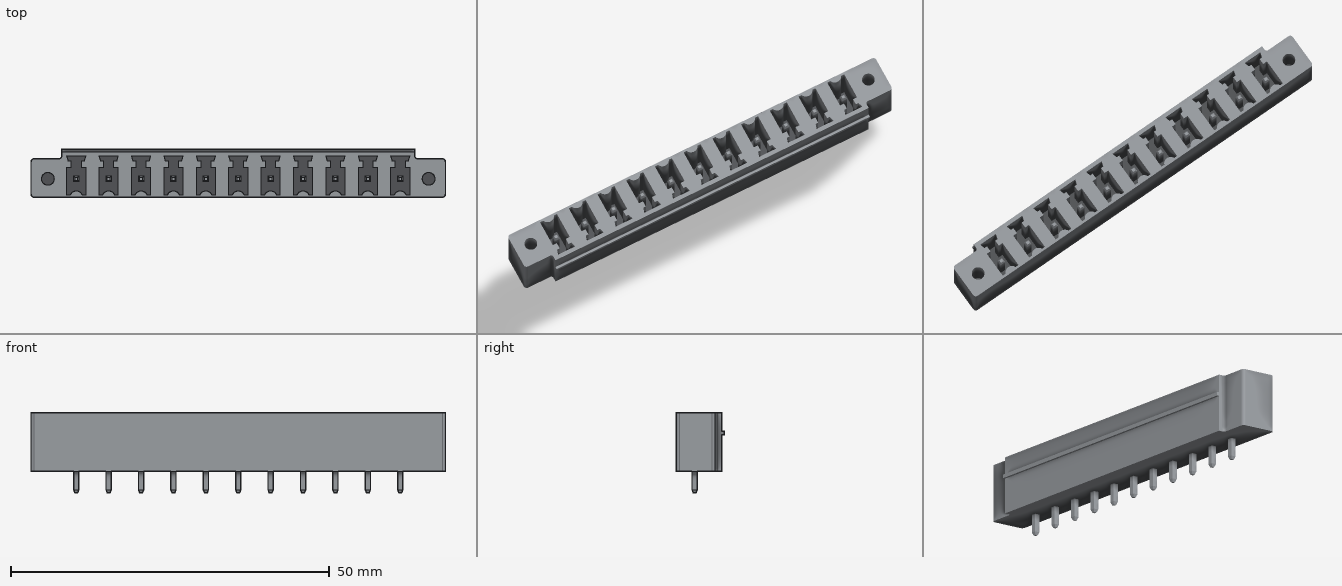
import cadquery as cq

pin_count = 11
pitch = 5.08
pin_xs = [(i - (pin_count - 1) / 2) * pitch for i in range(pin_count)]

overall_length = 65.0
overall_depth = 7.55
overall_height = 12.6
housing_height = 9.2
ridge_depth = 0.4
front_y = -2.9
back_y = front_y + overall_depth - ridge_depth
flange_back_y = 3.18
center_length = 55.4
corner_radius = 0.5
inner_corner_radius = 0.4

ridge_height = 0.6
ridge_center_z = 6.0

pocket_floor_z = 1.5
pocket_half_width = 1.5
pocket_front_y = -2.53
shoulder_y = 1.8
neck_half_width = 0.79
dovetail_front_y = 2.77
dovetail_front_half_width = 1.25
pocket_back_y = 3.6
rib_half_width = 0.95
rib_crest_y = -1.9

pin_width = 0.85
pin_top_z = 7.0
pin_bottom_z = housing_height - overall_height
tip_height = 0.5
tip_chamfer = 0.2

screw_hole_diameter = 2.0
screw_hole_depth = 7.0
screw_hole_x = 29.85


def make_housing():
    """Long block whose middle section stands behind the two end flanges."""
    half_length = overall_length / 2
    half_center = center_length / 2
    blank = (
        cq.Workplane("XY")
        .polyline([
            (-half_length, front_y),
            (half_length, front_y),
            (half_length, flange_back_y),
            (half_center, flange_back_y),
            (half_center, back_y),
            (-half_center, back_y),
            (-half_center, flange_back_y),
            (-half_length, flange_back_y),
        ])
        .close()
        .extrude(housing_height)
    )
    rounded = blank.edges("|Z and (<X or >X)").fillet(corner_radius)
    step_corners = cq.selectors.BoxSelector(
        (-half_center - corner_radius, flange_back_y - corner_radius, 0),
        (half_center + corner_radius, flange_back_y + corner_radius, housing_height),
    )
    return rounded.edges("|Z").edges(step_corners).fillet(inner_corner_radius)


def make_ridge():
    """Latching ridge that runs the length of the middle section."""
    ridge = cq.Workplane("XY").box(center_length, 2 * ridge_depth, ridge_height)
    return ridge.translate((0, back_y, ridge_center_z))


def make_pocket():
    """Keyed pocket: a wide chamber with an arched front rib, a neck and a dovetail at the back."""
    return (
        cq.Workplane("XY")
        .workplane(offset=pocket_floor_z)
        .moveTo(-pocket_half_width, pocket_front_y)
        .lineTo(-rib_half_width, pocket_front_y)
        .threePointArc((0, rib_crest_y), (rib_half_width, pocket_front_y))
        .lineTo(pocket_half_width, pocket_front_y)
        .lineTo(pocket_half_width, shoulder_y)
        .lineTo(neck_half_width, shoulder_y)
        .lineTo(neck_half_width, dovetail_front_y)
        .lineTo(dovetail_front_half_width, dovetail_front_y)
        .lineTo(pocket_half_width, pocket_back_y)
        .lineTo(-pocket_half_width, pocket_back_y)
        .lineTo(-dovetail_front_half_width, dovetail_front_y)
        .lineTo(-neck_half_width, dovetail_front_y)
        .lineTo(-neck_half_width, shoulder_y)
        .lineTo(-pocket_half_width, shoulder_y)
        .close()
        .extrude(housing_height - pocket_floor_z)
    )


def make_pin():
    """Square pin through the pocket floor, tapered at both ends."""
    pin_length = pin_top_z - pin_bottom_z
    return (
        cq.Workplane("XY")
        .box(pin_width, pin_width, pin_length, centered=(True, True, False))
        .faces("<Z or >Z")
        .chamfer(tip_height, tip_chamfer)
        .translate((0, 0, pin_bottom_z))
    )


def make_screw_holes():
    """Round blind holes sunk into the top of both end flanges."""
    return (
        cq.Workplane("XY")
        .workplane(offset=housing_height - screw_hole_depth)
        .pushPoints([(-screw_hole_x, 0), (screw_hole_x, 0)])
        .circle(screw_hole_diameter / 2)
        .extrude(screw_hole_depth)
    )


result = make_housing().union(make_ridge()).cut(make_screw_holes())

pocket = make_pocket()
pin = make_pin()
for x in pin_xs:
    result = result.cut(pocket.translate((x, 0, 0)))
    result = result.union(pin.translate((x, 0, 0)))